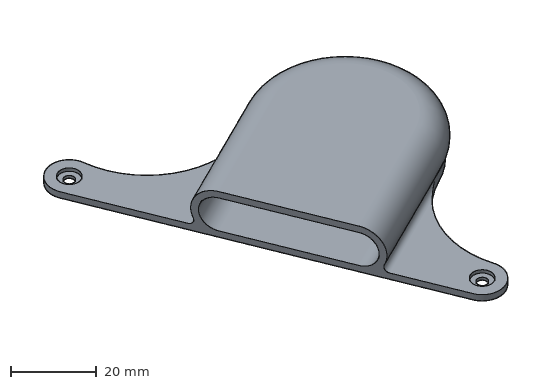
import cadquery as cq
import math

height = 14.0
length = 61.5
wall = 2.0
core_radius = 35.0 / 2
fillet_radius = 1.5
rim_radius = 23.5
ear_radius = 6.0
left_hole_x = -57.0
right_hole_x = 46.0
hole_diameter = 3.0
counterbore_diameter = 6.0
counterbore_depth = 1.0

edge_radius = height / 2
inner_edge_radius = edge_radius - wall
end_y = length - core_radius - edge_radius


def sweep_hood(half_profile):
    """Sweep a half profile (x >= 0, axis at x = 0) along the hood and round its end."""
    half_wire = half_profile.val()
    axis_start = (0, 0, 0)
    axis_end = (0, 1, 0)
    straight = profile_plane().add(half_wire).toPending().extrude(end_y)
    straight = straight.union(straight.mirror("YZ"))
    round_end = profile_plane().add(half_wire).toPending().revolve(180, axis_start, axis_end)
    return straight.union(round_end)


def profile_plane():
    return cq.Workplane("XZ", origin=(0, end_y, 0))


def rounded_half_profile(radius):
    """Flat top and bottom joined by a half circle, centred at mid height."""
    return (
        profile_plane()
        .moveTo(0, edge_radius - radius)
        .lineTo(core_radius, edge_radius - radius)
        .threePointArc((core_radius + radius, edge_radius), (core_radius, edge_radius + radius))
        .lineTo(0, edge_radius + radius)
        .close()
    )


def neck_half_profile():
    """Material below the hood, ending in a fillet tangent to hood edge and plate."""
    fillet_z = wall + fillet_radius
    drop = edge_radius - fillet_z
    reach = edge_radius + fillet_radius
    offset = math.sqrt(reach**2 - drop**2)
    fillet_x = core_radius + offset
    touch_x = core_radius + offset * edge_radius / reach
    touch_z = edge_radius - drop * edge_radius / reach
    touch_angle = math.atan2(drop, -offset)
    plate_angle = math.radians(270)
    middle_angle = (touch_angle + plate_angle) / 2
    middle = (
        fillet_x + fillet_radius * math.cos(middle_angle),
        fillet_z + fillet_radius * math.sin(middle_angle),
    )
    return (
        profile_plane()
        .lineTo(fillet_x, 0)
        .lineTo(fillet_x, wall)
        .threePointArc(middle, (touch_x, touch_z))
        .lineTo(0, touch_z)
        .close()
    )


def flank_points(hole_x):
    """Middle and outer end of the concave flank tangent to the rim and to an ear."""
    side = math.copysign(1, hole_x)
    rise = end_y - ear_radius
    gap = abs(hole_x) - rim_radius
    radius = (gap**2 + rise**2 - ear_radius**2) / (2 * (gap + ear_radius))
    center_x = rim_radius + radius
    end_angle = math.atan2(-rise, abs(hole_x) - center_x)
    middle_angle = (end_angle - math.pi) / 2

    def point(angle):
        return side * (center_x + radius * math.cos(angle)), end_y + radius * math.sin(angle)

    return point(middle_angle), point(end_angle)


def plate_outline():
    left_middle, left_end = flank_points(left_hole_x)
    right_middle, right_end = flank_points(right_hole_x)
    return (
        cq.Workplane("XY")
        .moveTo(left_hole_x, 0)
        .lineTo(right_hole_x, 0)
        .threePointArc((right_hole_x + ear_radius, ear_radius), right_end)
        .threePointArc(right_middle, (rim_radius, end_y))
        .threePointArc((0, end_y + rim_radius), (-rim_radius, end_y))
        .threePointArc(left_middle, left_end)
        .threePointArc((left_hole_x - ear_radius, ear_radius), (left_hole_x, 0))
        .close()
    )


hood = sweep_hood(rounded_half_profile(edge_radius))
cavity = sweep_hood(rounded_half_profile(inner_edge_radius))
plate = plate_outline().extrude(wall)

neck = sweep_hood(neck_half_profile()).intersect(plate_outline().extrude(edge_radius))

body = plate.union(neck).union(hood).cut(cavity)

hole_centers = [(left_hole_x, ear_radius), (right_hole_x, ear_radius)]
holes = cq.Workplane("XY").pushPoints(hole_centers).circle(hole_diameter / 2).extrude(wall)
counterbores = (
    cq.Workplane("XY", origin=(0, 0, wall - counterbore_depth))
    .pushPoints(hole_centers)
    .circle(counterbore_diameter / 2)
    .extrude(counterbore_depth)
)

result = body.cut(holes).cut(counterbores)